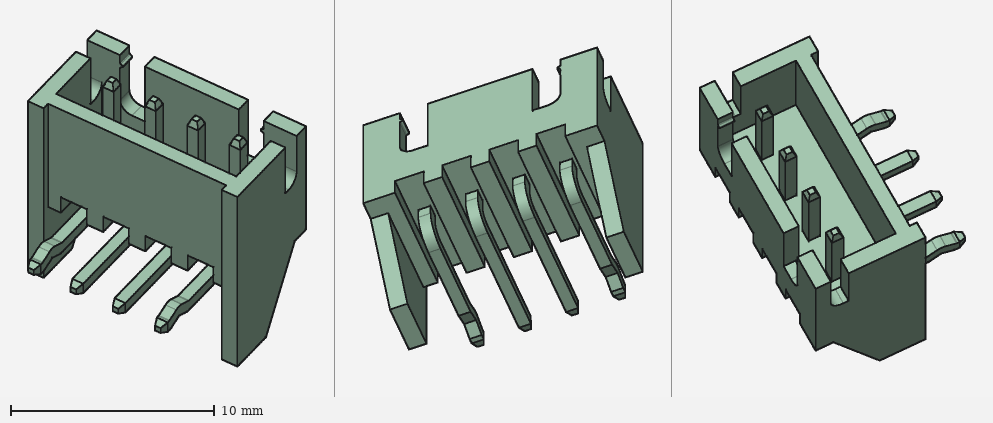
import cadquery as cq
import math


width = 12.4
depth = 6.1
height = 11.5
body_height = 6.99
body_base = height - body_height
front_recess = 0.4

leg_width = 0.93
leg_foot_depth = 2.54
leg_shoulder_depth = 5.11

side_wall = 0.87
back_wall = 0.84
front_wall = 0.8
cavity_depth = 5.0
cavity_front = front_recess + front_wall
cavity_back = depth - back_wall
cavity_width = width - 2 * side_wall

slot_radius = 0.7
side_slot_front = 4.27
side_slot_depth = 3.1
back_slot_depth = 3.72
back_slot_outer = 4.25
back_slot_inner = 2.78

bead_drop = 0.7
bead_reach = 0.17
bead_radius = 0.07
bead_slope = math.radians(30)

pin_count = 4
pin_span = 7.5
pitch = pin_span / (pin_count - 1)
pin_size = 0.65
pin_y = 3.77
pin_top = height - 0.24
tail_axis = height - 7.58
tail_reach = 3.4
bend_inner_radius = 0.67
tip_length = 0.4
tip_size = 0.33

notch_width = 1.53
notch_ceiling = height - 5.95

kink_y = -1.98
kink_rise = 0.3
kink_slope = math.radians(22)
kink_foot_radius = 0.12

pin_positions = [(i - (pin_count - 1) / 2) * pitch for i in range(pin_count)]


def block(x0, x1, y0, y1, z0, z1):
    """Axis-aligned box between two corners."""
    return cq.Workplane("XY").box(x1 - x0, y1 - y0, z1 - z0, centered=False).translate((x0, y0, z0))


def housing_shell():
    """Solid body with its two side plates, hollowed by the cavity."""
    leg_outline = [
        (0, 0),
        (leg_foot_depth, 0),
        (leg_shoulder_depth, body_base),
        (depth, body_base),
        (depth, height),
        (0, height),
    ]
    shell = block(-width / 2, width / 2, front_recess, depth, body_base, height)
    for left in (-width / 2, width / 2 - leg_width):
        leg = cq.Workplane("YZ").workplane(offset=left).polyline(leg_outline).close().extrude(leg_width)
        shell = shell.union(leg)
    cavity = block(
        -cavity_width / 2, cavity_width / 2, cavity_front, cavity_back, height - cavity_depth, height
    )
    return shell.cut(cavity)


def side_slots():
    """Slots down both side walls, rounded where they meet the tabs."""
    slot = block(-width / 2, width / 2, side_slot_front, cavity_back, height - side_slot_depth, height)
    return slot.edges("|X and >Y and <Z").fillet(slot_radius)


def back_slot():
    """Slot down the back wall on the +X side, rounded where it meets the tab."""
    slot = block(back_slot_inner, back_slot_outer, cavity_back, depth, height - back_slot_depth, height)
    return slot.edges("|Y and >X and <Z").fillet(slot_radius)


def latch_bead():
    """Filleted bead on the inner edge of the +X tab, pointing toward -X."""
    arc_reach = bead_radius * (1 - math.sin(bead_slope))
    arc_rise = bead_radius * math.cos(bead_slope)
    half_height = 2 * arc_rise + (bead_reach - 2 * arc_reach) * math.tan(bead_slope)
    turn = (math.pi / 2 - bead_slope) / 2
    mid_reach = bead_radius * (1 - math.cos(turn))
    mid_height = half_height - bead_radius * math.sin(turn)
    profile = (
        cq.Workplane("XZ", origin=(back_slot_outer, depth, height - bead_drop))
        .moveTo(0, half_height)
        .threePointArc((-mid_reach, mid_height), (-arc_reach, half_height - arc_rise))
        .lineTo(arc_reach - bead_reach, arc_rise)
        .threePointArc((-bead_reach, 0), (arc_reach - bead_reach, -arc_rise))
        .lineTo(-arc_reach, arc_rise - half_height)
        .threePointArc((-mid_reach, -mid_height), (0, -half_height))
        .close()
    )
    return profile.extrude(back_wall)


def make_housing():
    housing = housing_shell().cut(side_slots())
    slot = back_slot().cut(latch_bead())
    housing = housing.cut(slot).cut(slot.mirror("YZ"))
    half_pin = pin_size / 2
    half_notch = notch_width / 2
    for x in pin_positions:
        notch = block(x - half_notch, x + half_notch, 0, depth, body_base, notch_ceiling)
        hole = block(x - half_pin, x + half_pin, pin_y - half_pin, pin_y + half_pin, notch_ceiling, height)
        housing = housing.cut(notch).cut(hole)
    return housing


def tapered_tip():
    """Square frustum rising along Z from a full-size base."""
    taper = math.degrees(math.atan((pin_size - tip_size) / 2 / tip_length))
    return cq.Workplane("XY").rect(pin_size, pin_size).extrude(tip_length, taper=taper)


def straight_pin():
    """Right-angle pin at X = 0: an upright post and a tail toward -Y, both tapered at the end."""
    half = pin_size / 2
    post_end = pin_top - tip_length
    tail_end = tip_length - tail_reach
    outline = [
        (pin_y + half, post_end),
        (pin_y + half, tail_axis - half),
        (tail_end, tail_axis - half),
        (tail_end, tail_axis + half),
        (pin_y - half, tail_axis + half),
        (pin_y - half, post_end),
    ]
    pin = cq.Workplane("YZ").workplane(offset=-half).polyline(outline).close().extrude(pin_size)
    outer_corner = cq.selectors.NearestToPointSelector((0, pin_y + half, tail_axis - half))
    inner_corner = cq.selectors.NearestToPointSelector((0, pin_y - half, tail_axis + half))
    pin = pin.edges("|X").edges(outer_corner).fillet(bend_inner_radius + pin_size)
    pin = pin.edges("|X").edges(inner_corner).fillet(bend_inner_radius)
    post_tip = tapered_tip().translate((0, pin_y, post_end))
    tail_tip = tapered_tip().rotate((0, 0, 0), (1, 0, 0), 90).translate((0, tail_end, tail_axis))
    return pin.union(post_tip).union(tail_tip)


def kinked_pin():
    """Pin whose tail is bent up into a shallow vee, rounded on top and at its feet, and sharp below."""
    vee_half = kink_rise / math.tan(kink_slope)
    ridge_half = vee_half + pin_size * math.tan(kink_slope / 2)
    crown_half = pin_size * math.sin(kink_slope)
    crown_edge = kink_rise + pin_size * math.cos(kink_slope)
    plane = cq.Workplane("YZ", origin=(-pin_size / 2, kink_y, tail_axis - pin_size / 2))
    ridge = (
        plane.moveTo(-ridge_half, pin_size)
        .lineTo(-crown_half, crown_edge)
        .threePointArc((0, kink_rise + pin_size), (crown_half, crown_edge))
        .lineTo(ridge_half, pin_size)
        .close()
        .extrude(pin_size)
    )
    vee = plane.polyline([(-vee_half, 0), (0, kink_rise), (vee_half, 0)]).close().extrude(pin_size)
    pin = straight_pin().union(ridge)
    for foot_y in (kink_y - ridge_half, kink_y + ridge_half):
        foot = cq.selectors.NearestToPointSelector((0, foot_y, tail_axis + pin_size / 2))
        pin = pin.edges("|X").edges(foot).fillet(kink_foot_radius)
    return pin.cut(vee)


housing = make_housing()

pins = []
for x in pin_positions:
    outermost = x in (pin_positions[0], pin_positions[-1])
    pin = kinked_pin() if outermost else straight_pin()
    pins.append(pin.translate((x, 0, 0)).val())

result = cq.Compound.makeCompound([housing.val(), *pins])